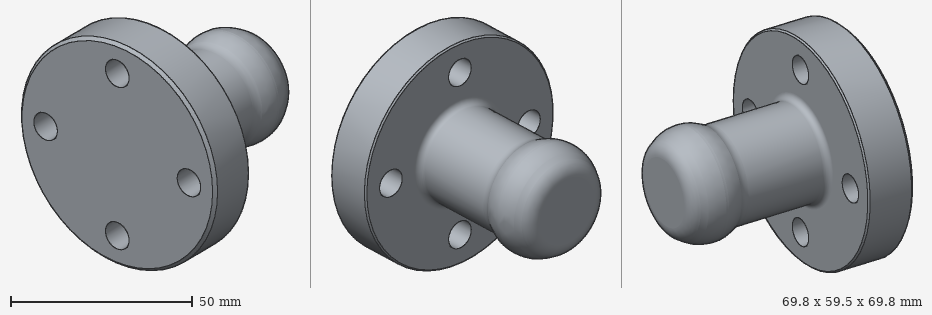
import cadquery as cq
import math

flange_diameter = 69.8
flange_thickness = 15.0
front_chamfer = 1.0
back_chamfer = 0.5

hole_count = 4
hole_diameter = 8.4
bolt_circle_diameter = 51.0

total_length = 59.5
stem_diameter = 29.5
stem_base_fillet = 2.0
knob_diameter = 34.0
knob_band_width = 0.85
knob_side_radius = 10.0
knob_blend_radius = 5.0
knob_band_top = 50.05
cone_angle = math.radians(30)

flange_radius = flange_diameter / 2
stem_radius = stem_diameter / 2
knob_radius = knob_diameter / 2
knob_band_bottom = knob_band_top - knob_band_width


def arc_point(center, radius, angle):
    """Point (distance from axis, y) on an arc; angle 0 points away from the axis."""
    return (center[0] + radius * math.cos(angle), center[1] + radius * math.sin(angle))


side_center_radius = knob_radius - knob_side_radius
upper_center = (side_center_radius, knob_band_top)
lower_center = (side_center_radius, knob_band_bottom)
upper_cone_start = arc_point(upper_center, knob_side_radius, cone_angle)
lower_cone_start = arc_point(lower_center, knob_side_radius, -cone_angle)

rim_center_y = total_length - knob_blend_radius
upper_cone_end_y = rim_center_y + knob_blend_radius * math.sin(cone_angle)
upper_cone_end_radius = (
    upper_cone_start[0] - (upper_cone_end_y - upper_cone_start[1]) * math.tan(cone_angle)
)
rim_center = (
    upper_cone_end_radius - knob_blend_radius * math.cos(cone_angle),
    rim_center_y,
)
rim_middle_angle = (cone_angle + math.pi / 2) / 2

neck_center_radius = stem_radius + knob_blend_radius
lower_cone_end_radius = neck_center_radius - knob_blend_radius * math.cos(cone_angle)
lower_cone_end_y = (
    lower_cone_start[1] - (lower_cone_start[0] - lower_cone_end_radius) / math.tan(cone_angle)
)
neck_center = (
    neck_center_radius,
    lower_cone_end_y - knob_blend_radius * math.sin(cone_angle),
)

base_center = (stem_radius + stem_base_fillet, flange_thickness + stem_base_fillet)


def make_body():
    """Flange, stem and knob as one turned profile around the Y axis."""
    profile = (
        cq.Workplane("XY")
        .moveTo(0, 0)
        .lineTo(flange_radius - front_chamfer, 0)
        .lineTo(flange_radius, front_chamfer)
        .lineTo(flange_radius, flange_thickness - back_chamfer)
        .lineTo(flange_radius - back_chamfer, flange_thickness)
        .lineTo(base_center[0], flange_thickness)
        .threePointArc(
            arc_point(base_center, stem_base_fillet, -3 * math.pi / 4),
            (stem_radius, base_center[1]),
        )
        .lineTo(stem_radius, neck_center[1])
        .threePointArc(
            arc_point(neck_center, knob_blend_radius, math.pi - cone_angle / 2),
            (lower_cone_end_radius, lower_cone_end_y),
        )
        .lineTo(*lower_cone_start)
        .threePointArc(
            arc_point(lower_center, knob_side_radius, -cone_angle / 2),
            (knob_radius, knob_band_bottom),
        )
        .lineTo(knob_radius, knob_band_top)
        .threePointArc(
            arc_point(upper_center, knob_side_radius, cone_angle / 2),
            upper_cone_start,
        )
        .lineTo(upper_cone_end_radius, upper_cone_end_y)
        .threePointArc(
            arc_point(rim_center, knob_blend_radius, rim_middle_angle),
            (rim_center[0], total_length),
        )
        .lineTo(0, total_length)
        .close()
    )
    return profile.revolve(360, (0, 0, 0), (0, 1, 0))


def make_bolt_holes():
    """Cylinders through the flange, evenly spaced around the Y axis."""
    return (
        cq.Workplane("XZ")
        .polarArray(bolt_circle_diameter / 2, 0, 360, hole_count)
        .circle(hole_diameter / 2)
        .extrude(-flange_thickness)
    )


result = make_body().cut(make_bolt_holes())